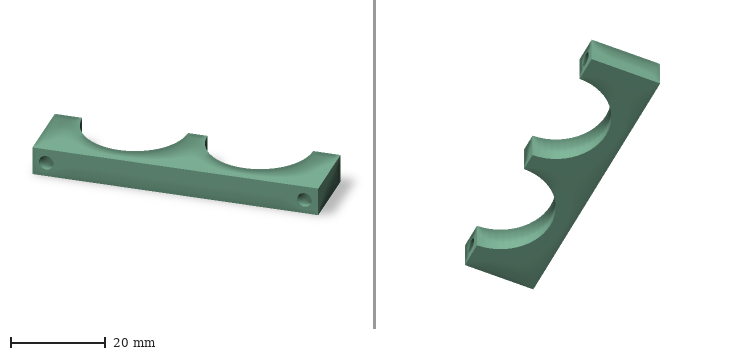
import cadquery as cq

length = 63.25
depth = 16.0
thickness = 6.35
cradle_diameter = 23.4
cradle_spacing = 27.7
hole_diameter = 3.17
hole_spacing = 57.15


def make_bar():
    """Rectangular bar centred on the origin."""
    return cq.Workplane("XY").box(length, depth, thickness)


def cut_cradles(body):
    """Cut the two half-round cradles, centred on the +Y face, through the thickness."""
    cradle_centers = [(side * cradle_spacing / 2, depth / 2) for side in (-1, 1)]
    cutters = (
        cq.Workplane("XY")
        .pushPoints(cradle_centers)
        .circle(cradle_diameter / 2)
        .extrude(thickness, both=True)
    )
    return body.cut(cutters)


def cut_bolt_holes(body):
    """Drill one bolt hole near each end, along Y through the full depth."""
    hole_centers = [(side * hole_spacing / 2, 0) for side in (-1, 1)]
    cutters = (
        cq.Workplane("XZ")
        .pushPoints(hole_centers)
        .circle(hole_diameter / 2)
        .extrude(depth, both=True)
    )
    return body.cut(cutters)


result = cut_bolt_holes(cut_cradles(make_bar()))